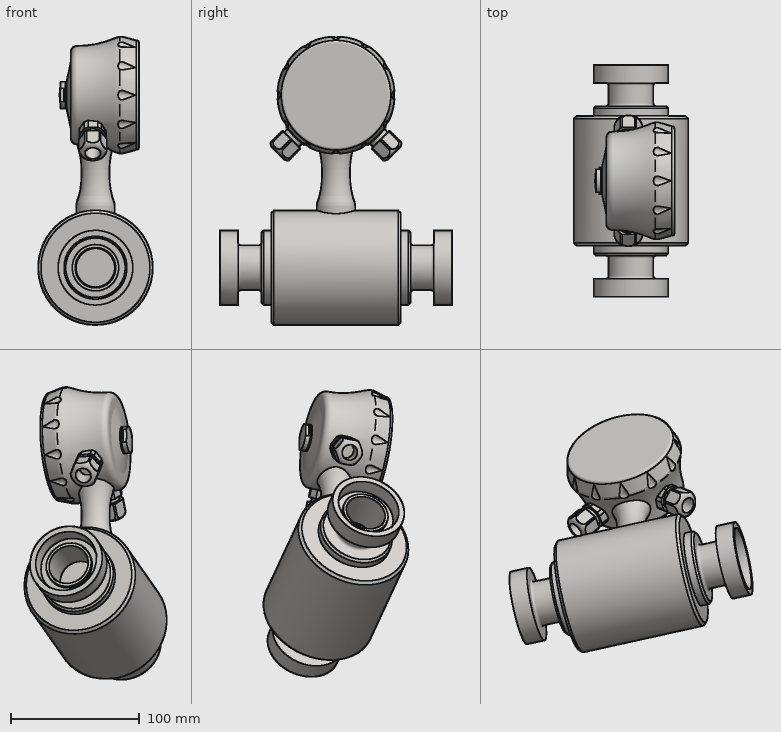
import cadquery as cq
import math

BODY_RADIUS = 44.5
BODY_HALF_LENGTH = 50.3
BODY_CHAMFER = 2.2
HUB_LENGTH = 7.5
HUB_CHAMFER = 1.8
FLANGE_RADIUS = 58.0 / 2
FLANGE_LENGTH = 14.0
TUBE_RADIUS = 17.5
TUBE_FILLET = 2.0
TUBE_HALF_LENGTH = 90.0

SOCKET_MOUTH_RADIUS = 24.5
SOCKET_FLOOR_RADIUS = 23.0
SOCKET_TAPER_DEPTH = 8.0
SOCKET_DEPTH = 11.2
LIP_RADIUS = 36.0 / 2
LIP_HEIGHT = 3.4
BORE_MOUTH_RADIUS = 15.7
BORE_END_RADIUS = 15.0

NECK_BASE_RADIUS = 15.0
NECK_BASE_TOP = 48.0
NECK_SHOULDER_RADIUS = 14.5
NECK_SHOULDER_TOP = 50.8
NECK_TAPER_RADIUS = 13.0
NECK_TAPER_TOP = 55.5
WAIST_RADIUS = 11.0
WAIST_BOTTOM = 71.5
WAIST_TOP = 75.6
FLARE_ARC_RADIUS = 60.5
FLARE_TOP = 103.0

HOUSING_AXIS_Z = 133.8
BACK_FACE_X = -19.2
BACK_FACE_RADIUS = 33.1
BACK_CORNER = 5.1
DOME_RADIUS = 25.7
DOME_RIM_RADIUS = 15.0
DOME_RIM_X = -21.5
DOME_TOP_RADIUS = 12.0
DOME_TOP_X = -22.2
HOUSING_RADIUS = BACK_FACE_RADIUS + BACK_CORNER
LID_START_X = 15.2
LID_START_RADIUS = 44.3
LID_RADIUS = 91.0 / 2
LID_CREST_START_X = 19.0
LID_CREST_END_X = 21.0
LID_TAPER_END_X = 31.5
LID_TAPER_END_RADIUS = 42.5
LID_END_X = 33.8
LID_END_RADIUS = 81.2 / 2
LID_EDGE_ROUNDING = 2.0

NOTCH_COUNT = 12
NOTCH_RADIUS = 4.7
NOTCH_NOSE_X = 20.8
NOTCH_NOSE_HEIGHT = 48.3
NOTCH_POINT_HEIGHT = 42.7

PLUG_RADIUS = 10.5
PLUG_HEAD_RADIUS = 20.8 / 2
PLUG_HEAD_START_X = -23.3
PLUG_FLAT_WIDTH = 18.0
PLUG_FLAT_START_X = -24.6
PLUG_END_X = -27.0
PLUG_TIP_X = -28.0

GLAND_X = -2.0
GLAND_ANGLE = 45.0
GLAND_CORE_START = 31.3
GLAND_CORE_RADIUS = 8.0
BASE_HEX_START = 37.0
BASE_HEX_END = 45.0
BASE_HEX_FLATS = 19.7
BASE_HEX_CORNER_CUT = 20.8
NUT_START = 48.8
NUT_END = 63.8
NUT_FLATS = 19.7
NUT_CORNER_CUT = 22.0
NUT_ROUNDING = 5.0
CABLE_HOLE_RADIUS = 6.0


def make_body():
    """Cylindrical body with chamfered ends."""
    return (
        cq.Workplane("XZ", origin=(0, BODY_HALF_LENGTH, 0))
        .circle(BODY_RADIUS)
        .extrude(2 * BODY_HALF_LENGTH)
        .edges("%CIRCLE")
        .chamfer(BODY_CHAMFER)
    )


def make_tube_end():
    """Hub, tube and flange on the +Y side of the body."""
    hub_end = BODY_HALF_LENGTH + HUB_LENGTH
    flange_start = TUBE_HALF_LENGTH - FLANGE_LENGTH
    return (
        cq.Workplane("XY")
        .moveTo(0, BODY_HALF_LENGTH)
        .lineTo(FLANGE_RADIUS, BODY_HALF_LENGTH)
        .lineTo(FLANGE_RADIUS, hub_end - HUB_CHAMFER)
        .lineTo(FLANGE_RADIUS - HUB_CHAMFER, hub_end)
        .lineTo(TUBE_RADIUS + TUBE_FILLET, hub_end)
        .radiusArc((TUBE_RADIUS, hub_end + TUBE_FILLET), TUBE_FILLET)
        .lineTo(TUBE_RADIUS, flange_start - TUBE_FILLET)
        .radiusArc((TUBE_RADIUS + TUBE_FILLET, flange_start), TUBE_FILLET)
        .lineTo(FLANGE_RADIUS, flange_start)
        .lineTo(FLANGE_RADIUS, TUBE_HALF_LENGTH)
        .lineTo(0, TUBE_HALF_LENGTH)
        .close()
        .revolve(360, (0, 0, 0), (0, 1, 0))
    )


def make_socket():
    """Cutter for the blind socket and tapered bore in the +Y end, ending level with the body's end face."""
    taper_end = TUBE_HALF_LENGTH - SOCKET_TAPER_DEPTH
    socket_floor = TUBE_HALF_LENGTH - SOCKET_DEPTH
    lip_face = socket_floor + LIP_HEIGHT
    return (
        cq.Workplane("XY")
        .moveTo(0, TUBE_HALF_LENGTH)
        .lineTo(SOCKET_MOUTH_RADIUS, TUBE_HALF_LENGTH)
        .lineTo(SOCKET_FLOOR_RADIUS, taper_end)
        .lineTo(SOCKET_FLOOR_RADIUS, socket_floor)
        .lineTo(LIP_RADIUS, socket_floor)
        .lineTo(LIP_RADIUS, lip_face)
        .lineTo(BORE_MOUTH_RADIUS, lip_face)
        .lineTo(BORE_END_RADIUS, BODY_HALF_LENGTH)
        .lineTo(0, BODY_HALF_LENGTH)
        .close()
        .revolve(360, (0, 0, 0), (0, 1, 0))
    )


def make_neck():
    """Waisted neck that flares out where it meets the housing."""
    taper_drop = WAIST_BOTTOM - NECK_TAPER_TOP
    taper_growth = NECK_TAPER_RADIUS - WAIST_RADIUS
    lower_arc_radius = (taper_drop**2 + taper_growth**2) / (2 * taper_growth)
    shoulder_rise = NECK_SHOULDER_TOP - NECK_BASE_TOP
    shoulder_step = NECK_BASE_RADIUS - NECK_SHOULDER_RADIUS
    shoulder_arc_radius = (shoulder_rise**2 + shoulder_step**2) / (2 * shoulder_step)
    flare_rise = FLARE_TOP - WAIST_TOP
    flare_growth = FLARE_ARC_RADIUS - math.sqrt(FLARE_ARC_RADIUS**2 - flare_rise**2)
    return (
        cq.Workplane("XZ")
        .lineTo(NECK_BASE_RADIUS, 0)
        .lineTo(NECK_BASE_RADIUS, NECK_BASE_TOP)
        .radiusArc((NECK_SHOULDER_RADIUS, NECK_SHOULDER_TOP), -shoulder_arc_radius)
        .lineTo(NECK_TAPER_RADIUS, NECK_TAPER_TOP)
        .radiusArc((WAIST_RADIUS, WAIST_BOTTOM), lower_arc_radius)
        .lineTo(WAIST_RADIUS, WAIST_TOP)
        .radiusArc((WAIST_RADIUS + flare_growth, FLARE_TOP), FLARE_ARC_RADIUS)
        .lineTo(0, FLARE_TOP)
        .close()
        .revolve(360, (0, 0, 0), (0, 1, 0))
    )


def make_housing():
    """Housing and lid revolved about the X axis."""
    wall_start_x = BACK_FACE_X + BACK_CORNER
    wall_length = LID_START_X - wall_start_x
    wall_growth = LID_START_RADIUS - HOUSING_RADIUS
    wall_arc_radius = (wall_length**2 + wall_growth**2) / (2 * wall_growth)
    return (
        cq.Workplane("XZ")
        .moveTo(DOME_TOP_X, 0)
        .lineTo(DOME_TOP_X, DOME_TOP_RADIUS)
        .lineTo(DOME_RIM_X, DOME_RIM_RADIUS)
        .lineTo(BACK_FACE_X, DOME_RADIUS)
        .lineTo(BACK_FACE_X, BACK_FACE_RADIUS)
        .radiusArc((wall_start_x, HOUSING_RADIUS), BACK_CORNER)
        .radiusArc((LID_START_X, LID_START_RADIUS), -wall_arc_radius)
        .lineTo(LID_CREST_START_X, LID_RADIUS)
        .lineTo(LID_CREST_END_X, LID_RADIUS)
        .lineTo(LID_TAPER_END_X, LID_TAPER_END_RADIUS)
        .radiusArc((LID_END_X, LID_END_RADIUS), LID_EDGE_ROUNDING)
        .lineTo(LID_END_X, 0)
        .close()
        .revolve(360, (0, 0, 0), (1, 0, 0))
    )


def make_notch():
    """Teardrop cutter: a ball and its tangent cone, with the point where the lid's taper ends."""
    run = LID_TAPER_END_X - NOTCH_NOSE_X
    drop = NOTCH_NOSE_HEIGHT - NOTCH_POINT_HEIGHT
    length = math.hypot(run, drop)
    half_angle = math.asin(NOTCH_RADIUS / length)
    tangent_x = NOTCH_RADIUS * math.sin(half_angle)
    tangent_radius = NOTCH_RADIUS * math.cos(half_angle)
    teardrop = (
        cq.Workplane("XZ")
        .moveTo(-NOTCH_RADIUS, 0)
        .threePointArc((0, NOTCH_RADIUS), (tangent_x, tangent_radius))
        .lineTo(length, 0)
        .close()
        .revolve(360, (0, 0, 0), (1, 0, 0))
    )
    tilt = math.degrees(math.atan2(drop, run))
    return teardrop.rotate((0, 0, 0), (0, 1, 0), tilt).translate((NOTCH_NOSE_X, 0, NOTCH_NOSE_HEIGHT))


def make_plug():
    """Round plug with a shallow conical tip and two wrench flats."""
    plug = (
        cq.Workplane("XZ")
        .lineTo(PLUG_TIP_X, 0)
        .lineTo(PLUG_END_X, PLUG_HEAD_RADIUS)
        .lineTo(PLUG_HEAD_START_X, PLUG_HEAD_RADIUS)
        .lineTo(PLUG_HEAD_START_X, PLUG_RADIUS)
        .lineTo(0, PLUG_RADIUS)
        .close()
        .revolve(360, (0, 0, 0), (1, 0, 0))
    )
    for side in (-1, 1):
        flat_cut = cq.Workplane("XY").box(
            PLUG_FLAT_START_X - PLUG_TIP_X, PLUG_RADIUS, 2 * PLUG_RADIUS, centered=(False, True, True)
        )
        plug = plug.cut(flat_cut.translate((PLUG_TIP_X, side * (PLUG_FLAT_WIDTH + PLUG_RADIUS) / 2, 0)))
    return plug


def make_hex(flats, corner_cut, start, end):
    """Hexagonal bar along Z, corners on +X and -X, trimmed by a second hexagon turned 30 degrees."""
    corner_ratio = math.cos(math.radians(30))
    base = cq.Workplane("XY", origin=(0, 0, start))
    bar = base.polygon(6, flats / corner_ratio).extrude(end - start)
    trim = base.polygon(6, corner_cut / corner_ratio).extrude(end - start)
    return bar.intersect(trim.rotate((0, 0, 0), (0, 0, 1), 30))


def make_gland():
    """Cable gland pointing along +Z from the origin."""
    core = (
        cq.Workplane("XY", origin=(0, 0, GLAND_CORE_START))
        .circle(GLAND_CORE_RADIUS)
        .extrude(NUT_START - GLAND_CORE_START)
    )
    base_hex = make_hex(BASE_HEX_FLATS, BASE_HEX_CORNER_CUT, BASE_HEX_START, BASE_HEX_END)
    nut_base = cq.Workplane("XY", origin=(0, 0, NUT_START))
    round_envelope = (
        nut_base.circle(NUT_CORNER_CUT / 2)
        .extrude(NUT_END - NUT_START)
        .faces(">Z")
        .edges()
        .fillet(NUT_ROUNDING)
    )
    nut = make_hex(NUT_FLATS, NUT_CORNER_CUT, NUT_START, NUT_END).intersect(round_envelope)
    hole = nut_base.circle(CABLE_HOLE_RADIUS).extrude(NUT_END - NUT_START)
    return core.union(base_hex).union(nut.cut(hole))


tube_end = make_tube_end().cut(make_socket())
flow_tube = make_body().union(tube_end).union(tube_end.mirror("XZ"))

head = make_housing().union(make_plug())
notch = make_notch()
for index in range(NOTCH_COUNT):
    head = head.cut(notch.rotate((0, 0, 0), (1, 0, 0), index * 360 / NOTCH_COUNT))
for side in (-1, 1):
    gland = make_gland().rotate((0, 0, 0), (1, 0, 0), side * (180 - GLAND_ANGLE))
    head = head.union(gland.translate((GLAND_X, 0, 0)))
head = head.translate((0, 0, HOUSING_AXIS_Z))

result = flow_tube.union(make_neck()).union(head)